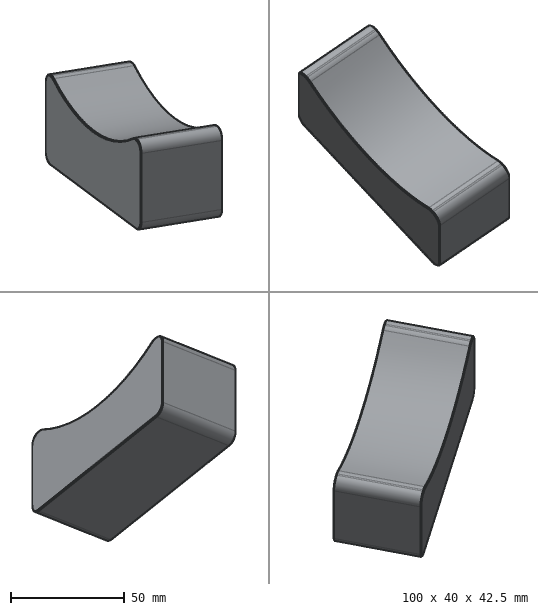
import cadquery as cq
import math

length = 100.0
width = 40.0
height = 42.5

corner_radius = 5.0
lip_radius = 5.0
top_flat = 0.8
saddle_radius = 87.5
edge_chamfer = 0.5

half_length = length / 2

lip_center_x = half_length - corner_radius - top_flat
lip_center_z = height - lip_radius
saddle_end_angle = math.asin(lip_center_x / (saddle_radius + lip_radius))
saddle_center_z = lip_center_z + (saddle_radius + lip_radius) * math.cos(saddle_end_angle)


def lip_point(angle):
    """Point on the right lip arc, at an angle measured from vertical towards the saddle."""
    x = lip_center_x - lip_radius * math.sin(angle)
    z = lip_center_z + lip_radius * math.cos(angle)
    return x, z


def mirrored(point):
    """The same point on the left half of the profile."""
    x, z = point
    return -x, z


def make_profile():
    """Closed XZ outline with square outer corners and the rounded saddle."""
    lip_start = lip_point(0)
    lip_middle = lip_point(saddle_end_angle / 2)
    saddle_end = lip_point(saddle_end_angle)
    saddle_bottom = (0, saddle_center_z - saddle_radius)
    return (
        cq.Workplane("XZ")
        .moveTo(-half_length, 0)
        .lineTo(half_length, 0)
        .lineTo(half_length, height)
        .lineTo(*lip_start)
        .threePointArc(lip_middle, saddle_end)
        .threePointArc(saddle_bottom, mirrored(saddle_end))
        .threePointArc(mirrored(lip_middle), mirrored(lip_start))
        .lineTo(-half_length, height)
        .close()
    )


def round_outer_corners(body):
    """Round the four long edges where the side walls meet the top and bottom."""
    return body.faces("<X or >X").edges("|Y").fillet(corner_radius)


def chamfer_end_faces(body):
    """Chamfer the full outline of the front and back faces."""
    return body.faces("<Y or >Y").edges().chamfer(edge_chamfer)


block = make_profile().extrude(width / 2, both=True)
result = chamfer_end_faces(round_outer_corners(block))